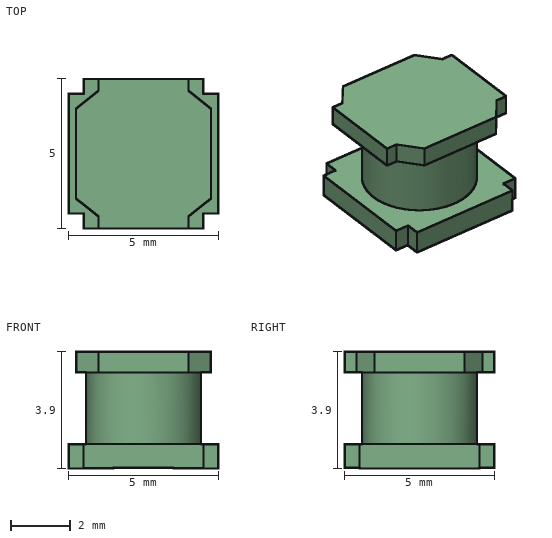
import cadquery as cq

width = 5.0
height = 3.9

base_top = 0.82
corner_notch = 0.5

pad_length = 1.5
pad_width = width - 2 * corner_notch
pad_drop = 0.02
terminal_height = 0.3

core_diameter = 3.85

top_thickness = 0.69
top_half_x = 2.25
tab_half_x = 1.5
tab_root_y = 2.1
shoulder_y = 1.5


def make_base():
    """Square flange with notched corners, raised above the seating plane."""
    thickness = base_top - pad_drop
    inner = width - 2 * corner_notch
    along_x = cq.Workplane("XY").box(width, inner, thickness, centered=(True, True, False))
    along_y = cq.Workplane("XY").box(inner, width, thickness, centered=(True, True, False))
    return along_x.union(along_y).translate((0, 0, pad_drop))


def make_pad(side):
    """Terminal at the outer end of the base; side is -1 or +1 along X."""
    center_x = side * (width - pad_length) / 2
    return (
        cq.Workplane("XY")
        .center(center_x, 0)
        .rect(pad_length, pad_width)
        .extrude(terminal_height)
    )


def make_core():
    """Round core joining the two flanges."""
    return (
        cq.Workplane("XY")
        .workplane(offset=base_top)
        .circle(core_diameter / 2)
        .extrude(height - top_thickness - base_top)
    )


def make_top():
    """Top flange, traced as one quarter and mirrored about both axes."""
    half_y = width / 2
    return (
        cq.Workplane("XY")
        .workplane(offset=height - top_thickness)
        .moveTo(0, half_y)
        .lineTo(tab_half_x, half_y)
        .lineTo(tab_half_x, tab_root_y)
        .lineTo(top_half_x, shoulder_y)
        .lineTo(top_half_x, 0)
        .mirrorX()
        .mirrorY()
        .extrude(top_thickness)
    )


result = make_base().union(make_core()).union(make_top())
for side in (-1, 1):
    result = result.union(make_pad(side))